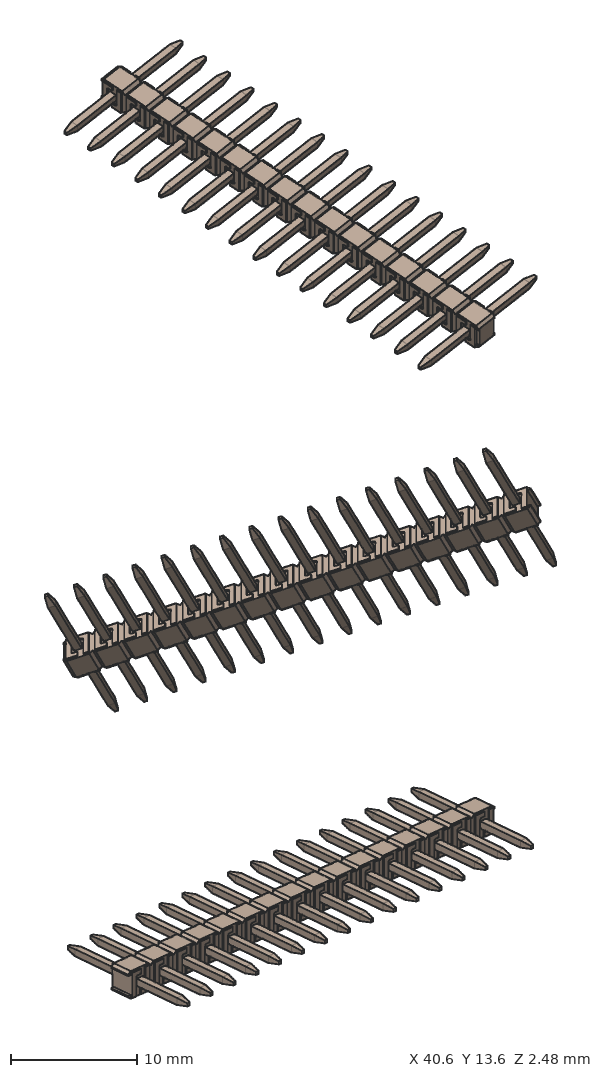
import cadquery as cq

segment_count = 16
strip_length = 40.65
strip_height = 2.48
pitch = strip_length / segment_count
segment_centers = [(i + 0.5) * pitch - strip_length / 2 for i in range(segment_count)]

core_width = 1.9
notch_run = 0.3
notch_depth = notch_run
end_notch_depth = 0.22

end_recess_depth = notch_run
end_recess_height = 1.8
tongue_inset = 0.12

pad_width = pitch - 2 * notch_run
pad_ledge = 0.1
pad_height = strip_height - 2 * pad_ledge
pad_rise = 0.15

groove_half_width = 0.53
groove_middle_height = 1.42
groove_corner_radius = 0.2

pin_size = 0.65
tip_size = 0.3
tip_length = 1.0
pin_front = -6.5
pin_back = 7.07


def segment_core(x, left_drop, right_drop):
    """Bar segment whose four long edges slope down by the given drops to form the notches."""
    half_pitch = pitch / 2
    half_top = half_pitch - notch_run
    half_height = strip_height / 2
    left_shoulder = half_height - left_drop
    right_shoulder = half_height - right_drop
    outline = [
        (-half_top, half_height),
        (half_top, half_height),
        (half_pitch, right_shoulder),
        (half_pitch, -right_shoulder),
        (half_top, -half_height),
        (-half_top, -half_height),
        (-half_pitch, -left_shoulder),
        (-half_pitch, left_shoulder),
    ]
    profile = cq.Workplane("XZ").polyline(outline).close()
    return profile.extrude(core_width / 2, both=True).translate((x, 0, 0))


def groove(depth):
    """Z-shaped groove cutter: upper slot right of centre, lower slot left of it."""
    half_slot = groove_half_width / 2
    middle = (
        cq.Workplane("XZ")
        .rect(2 * groove_half_width, groove_middle_height)
        .extrude(depth, both=True)
        .edges("|Y")
        .edges("(<X and >Z) or (>X and <Z)")
        .fillet(groove_corner_radius)
    )
    slots = (
        cq.Workplane("XZ")
        .pushPoints([(half_slot, strip_height / 4), (-half_slot, -strip_height / 4)])
        .rect(groove_half_width, strip_height / 2)
        .extrude(depth, both=True)
    )
    return middle.union(slots)


def segment_pads(x):
    """Grooved pads standing proud of the front and back core faces."""
    depth = core_width / 2 + pad_rise
    pads = cq.Workplane("XZ").rect(pad_width, pad_height).extrude(depth, both=True)
    return pads.cut(groove(depth)).translate((x, 0, 0))


def pin_tip(y, length):
    """Tapered tip starting at y; a negative length points it towards -Y."""
    return (
        cq.Workplane("XZ", origin=(0, y, 0))
        .rect(pin_size, pin_size)
        .workplane(offset=-length)
        .rect(tip_size, tip_size)
        .loft()
    )


def pin(x):
    """Square pin running through the strip along Y, pointed at both ends."""
    shank_front = pin_front + tip_length
    shank_back = pin_back - tip_length
    shank = (
        cq.Workplane("XZ", origin=(0, shank_front, 0))
        .rect(pin_size, pin_size)
        .extrude(shank_front - shank_back)
    )
    pointed = shank.union(pin_tip(shank_front, -tip_length)).union(pin_tip(shank_back, tip_length))
    return pointed.translate((x, 0, 0))


def end_slab(end_x, width):
    """Block centred on an end face, as deep and tall as the end recess."""
    return cq.Workplane("XY").box(2 * end_recess_depth, width, end_recess_height).translate((end_x, 0, 0))


right_drops = [notch_depth] * (segment_count - 1) + [end_notch_depth]
left_drops = reversed(right_drops)
cores = [
    segment_core(x, left, right).val()
    for x, left, right in zip(segment_centers, left_drops, right_drops)
]
body = cq.Workplane(obj=cores[0].fuse(*cores[1:]).clean())

recess = end_slab(strip_length / 2, core_width)
tongue = end_slab(strip_length / 2, core_width - 2 * tongue_inset)
body = body.cut(end_slab(-strip_length / 2, core_width)).cut(recess.cut(tongue))

additions = []
for x in segment_centers:
    additions.append(segment_pads(x).val())
    additions.append(pin(x).val())

result = cq.Workplane(obj=body.val().fuse(*additions).clean())